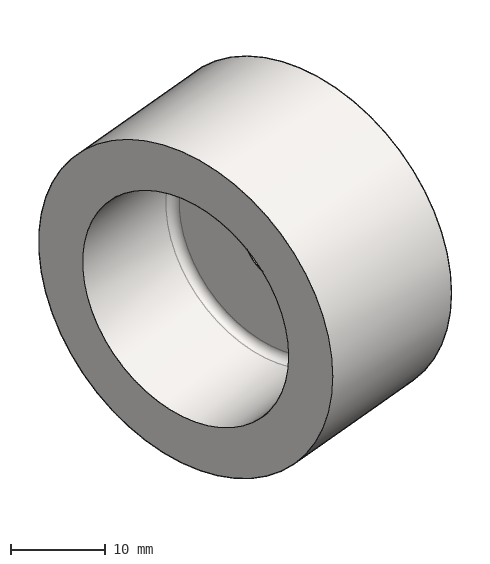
import cadquery as cq

outer_diameter = 40.0
width = 20.0
recess_diameter = 28.0
recess_depth = 15.0
recess_fillet = 1.0
bore_diameter = 8.5


def front_face_cylinder(diameter, length):
    """Cylinder running along +Y from the open front face at Y = 0."""
    return cq.Workplane("XZ").circle(diameter / 2).extrude(-length)


def recess_cutter():
    """Blind round recess with a rounded corner at its floor."""
    cutter = front_face_cylinder(recess_diameter, recess_depth)
    return cutter.faces(">Y").edges().fillet(recess_fillet)


body = front_face_cylinder(outer_diameter, width)
bore = front_face_cylinder(bore_diameter, width)

result = body.cut(recess_cutter()).cut(bore)